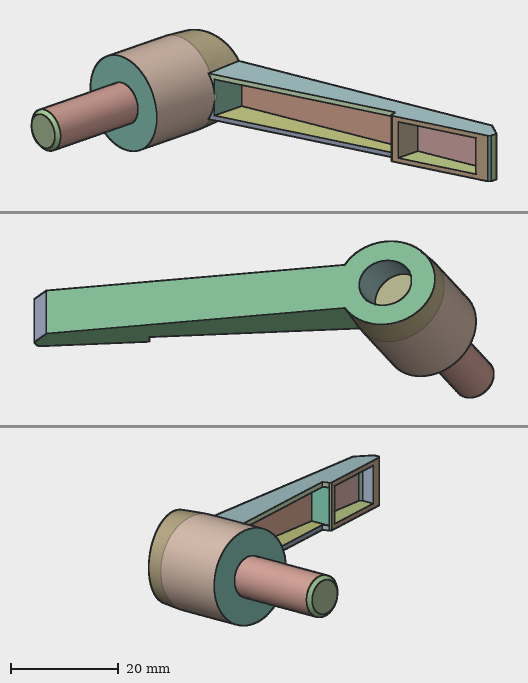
import cadquery as cq
import math

overall_length = 74.25
overall_height = 56.5

hub_radius = 18.5 / 2
hub_height = 14.3
cap_taper = 4.0
cap_blank_height = 10.4

stud_radius = 4.0
stud_length = 20.0
stud_chamfer = 0.75
recess_radius = 4.75
recess_floor = hub_height

arm_width = 9.2
arm_root_x = 5.95
arm_end_x = overall_length - hub_radius
arm_top_slope = math.tan(math.radians(14.9))
arm_bottom_slope = math.tan(math.radians(20))
arm_peak_x = 61.55
arm_peak_y = overall_height - stud_length
nose_top_y = 34.5
nose_bottom_y = 32.8
nose_chamfer = 0.4
step_x = 44.85
step_tip_x = 45.75
step_inner_y = 27.3
step_face_x = 45.4
step_face_y = 26.0

side_wall = 1.0
roof_drop = 1.5
inner_pocket_start_x = 9.2
outer_pocket_start_x = 46.9
outer_pocket_end_x = 62.2


def top_y(x):
    return arm_peak_y + (x - arm_peak_x) * arm_top_slope


def grip_bottom_y(x):
    return nose_bottom_y + (x - arm_end_x) * arm_bottom_slope


def shank_bottom_y(x):
    return step_inner_y + (x - step_x) * arm_bottom_slope


def nose_y(x):
    nose_slope = (nose_top_y - arm_peak_y) / (arm_end_x - arm_peak_x)
    return arm_peak_y + (x - arm_peak_x) * nose_slope


def plate(points, width):
    """Extrude an XY outline to a width centred on Z = 0."""
    return cq.Workplane("XY").polyline(points).close().extrude(width / 2, both=True)


def cylinder(radius, start_y, length, taper=0):
    """Cylinder or cone rising along +Y from start_y."""
    base = cq.Workplane("XZ", origin=(0, start_y, 0))
    return base.circle(radius).extrude(-length, taper=taper)


def make_hub():
    cap = cylinder(hub_radius, hub_height, cap_blank_height, cap_taper)
    reach = 2 * hub_radius
    below_slope = plate(
        [(-reach, 0), (reach, 0), (reach, top_y(reach)), (-reach, top_y(-reach))],
        2 * reach,
    )
    return cylinder(hub_radius, 0, hub_height).union(cap.intersect(below_slope))


def make_stud():
    stud = cylinder(stud_radius, -stud_length, stud_length)
    return stud.faces("<Y").chamfer(stud_chamfer)


def make_arm():
    return plate(
        [
            (arm_root_x, top_y(arm_root_x)),
            (arm_peak_x, arm_peak_y),
            (arm_end_x, nose_top_y),
            (arm_end_x, nose_bottom_y + nose_chamfer),
            (arm_end_x - nose_chamfer, grip_bottom_y(arm_end_x - nose_chamfer)),
            (step_tip_x, grip_bottom_y(step_tip_x)),
            (step_face_x, step_face_y),
            (step_x, step_inner_y),
            (arm_root_x, shank_bottom_y(arm_root_x)),
        ],
        arm_width,
    )


def make_pockets():
    pocket_width = arm_width - 2 * side_wall
    inner = plate(
        [
            (inner_pocket_start_x, 0),
            (step_face_x, 0),
            (step_face_x, top_y(step_face_x) - roof_drop),
            (inner_pocket_start_x, top_y(inner_pocket_start_x) - roof_drop),
        ],
        pocket_width,
    )
    outer = plate(
        [
            (outer_pocket_start_x, 0),
            (outer_pocket_end_x, 0),
            (outer_pocket_end_x, nose_y(outer_pocket_end_x) - roof_drop),
            (arm_peak_x, arm_peak_y - roof_drop),
            (outer_pocket_start_x, top_y(outer_pocket_start_x) - roof_drop),
        ],
        pocket_width,
    )
    return inner.union(outer)


arm = make_arm().cut(make_pockets())
recess = cylinder(recess_radius, recess_floor, cap_blank_height)
result = make_hub().union(arm).cut(recess).union(make_stud())